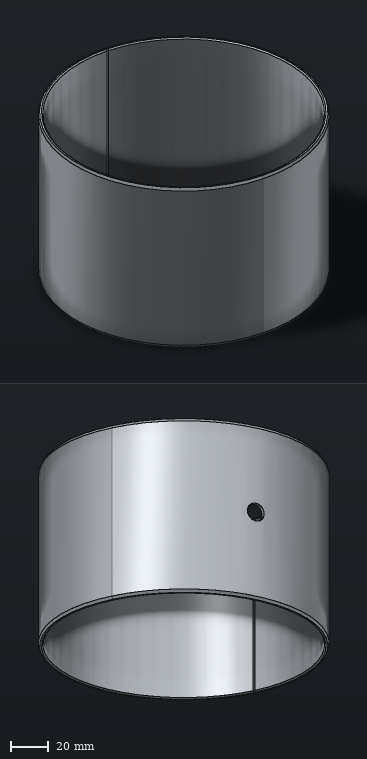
import cadquery as cq

outer_diameter = 155.0
wall = 2.5
length = 100.0
inner_radius = outer_diameter / 2 - wall
outer_radius = outer_diameter / 2

outer_chamfer_height = 1.7
outer_chamfer_depth = 0.65
inner_chamfer = 0.8

joint_gap = 1.0
hole_diameter = 10.0
hole_angle = 59.3


def sleeve():
    """Revolve the wall section, chamfered at both ends, about Z."""
    top = length / 2
    upper_half = [
        (inner_radius, top - inner_chamfer),
        (inner_radius + inner_chamfer, top),
        (outer_radius - outer_chamfer_depth, top),
        (outer_radius, top - outer_chamfer_height),
    ]
    lower_half = [(r, -z) for r, z in reversed(upper_half)]
    section = cq.Workplane("XZ").polyline(upper_half + lower_half).close()
    return section.revolve(360, (0, 0, 0), (0, 1, 0))


def joint_slot():
    """Full-length gap through the wall on the -X side."""
    slot = cq.Workplane("XY").box(outer_diameter, joint_gap, length)
    return slot.translate((-outer_radius, joint_gap / 2, 0))


def cross_hole():
    """Radial hole through the wall, at mid length."""
    hole = cq.Workplane("YZ").circle(hole_diameter / 2).extrude(outer_diameter)
    return hole.rotate((0, 0, 0), (0, 0, 1), hole_angle)


result = sleeve().cut(joint_slot()).cut(cross_hole())